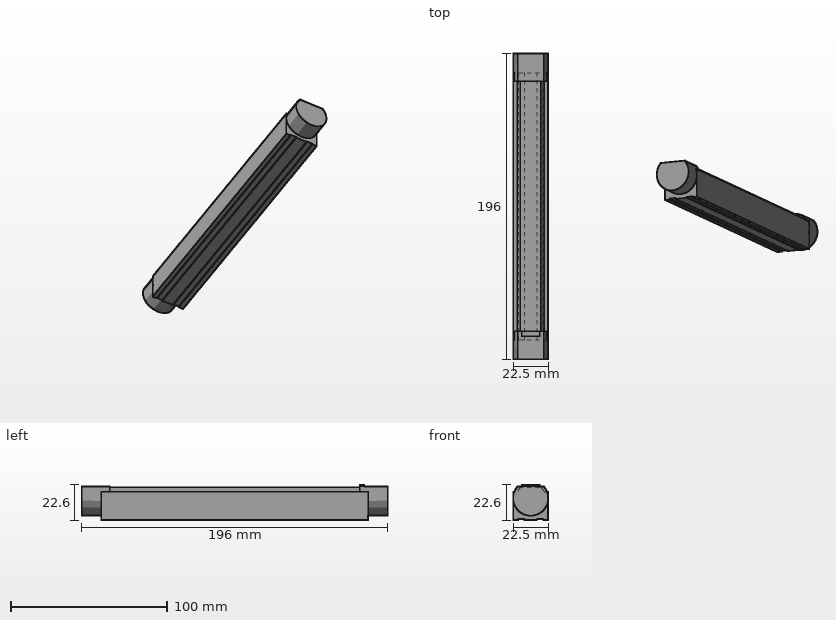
import cadquery as cq
import math

overall_length = 196.0
base_width = 22.5
base_length = 171.0
base_height = 18.2

cap_radius = base_width / 2
cap_length = 18.0
cap_bottom = 2.75
cap_top = 21.5
axis_height = cap_bottom + cap_radius

tube_radius = 9.6
tube_top = 21.0
tube_length = overall_length - 2 * cap_length

tab_width = 11.5
tab_length = 3.0
tab_top = 22.6

groove_width = 4.0
groove_depth = 0.6
groove_offset = 6.0


def flattened_cylinder(radius, flat_height, length, y_start):
    """Cylinder along +Y on the common axis, cut off by a flat at flat_height."""
    rise = flat_height - axis_height
    half_flat = math.sqrt(radius**2 - rise**2)
    return (
        cq.Workplane("XZ", origin=(0, y_start, 0))
        .moveTo(-half_flat, flat_height)
        .threePointArc((0, axis_height - radius), (half_flat, flat_height))
        .close()
        .extrude(-length)
    )


def make_base():
    base = cq.Workplane("XY").box(base_width, base_length, base_height, centered=(True, True, False))
    for side in (-1, 1):
        groove = (
            cq.Workplane("XY")
            .box(groove_width, base_length, groove_depth, centered=(True, True, False))
            .translate((side * groove_offset, 0, 0))
        )
        base = base.cut(groove)
    return base


def make_tab():
    return (
        cq.Workplane("XY")
        .box(tab_width, tab_length, tab_top - cap_top, centered=(True, False, False))
        .translate((0, -tube_length / 2 - tab_length, cap_top))
    )


front_cap = flattened_cylinder(cap_radius, cap_top, cap_length, -overall_length / 2)
back_cap = flattened_cylinder(cap_radius, cap_top, cap_length, tube_length / 2)
tube = flattened_cylinder(tube_radius, tube_top, tube_length, -tube_length / 2)

result = make_base().union(tube).union(front_cap).union(back_cap).union(make_tab())